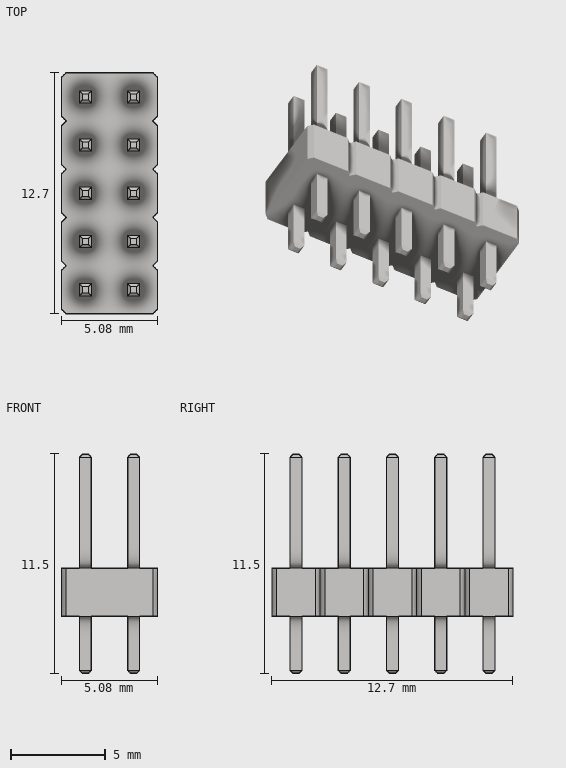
import cadquery as cq

pitch = 2.54
columns = 2
rows = 5
body_height = pitch
corner_cut = pitch / 10
pin_width = 0.64
pin_tip_chamfer = pin_width / 4
pin_above_body = 6.0
pin_below_body = 3.0

body_width = columns * pitch
pin_length = pin_below_body + body_height + pin_above_body


def centred_positions(count):
    """Pitch-spaced positions, symmetric about zero."""
    return [(index - (count - 1) / 2) * pitch for index in range(count)]


def make_body_cell():
    """One row of the housing; its cut corners form the notches between rows."""
    return (
        cq.Workplane("XY")
        .rect(body_width, pitch)
        .extrude(body_height)
        .edges("|Z")
        .chamfer(corner_cut)
    )


def make_body():
    """Housing standing on Z = 0, one cell per row of pins."""
    cell = make_body_cell()
    body = cq.Workplane("XY")
    for y in centred_positions(rows):
        body = body.union(cell.translate((0, y, 0)))
    return body.clean()


def make_pin():
    """Square pin with both tips chamfered."""
    return (
        cq.Workplane("XY")
        .workplane(offset=-pin_below_body)
        .rect(pin_width, pin_width)
        .extrude(pin_length)
        .faces("<Z or >Z")
        .edges()
        .chamfer(pin_tip_chamfer)
    )


result = make_body()
pin = make_pin()
for x in centred_positions(columns):
    for y in centred_positions(rows):
        result = result.union(pin.translate((x, y, 0)))